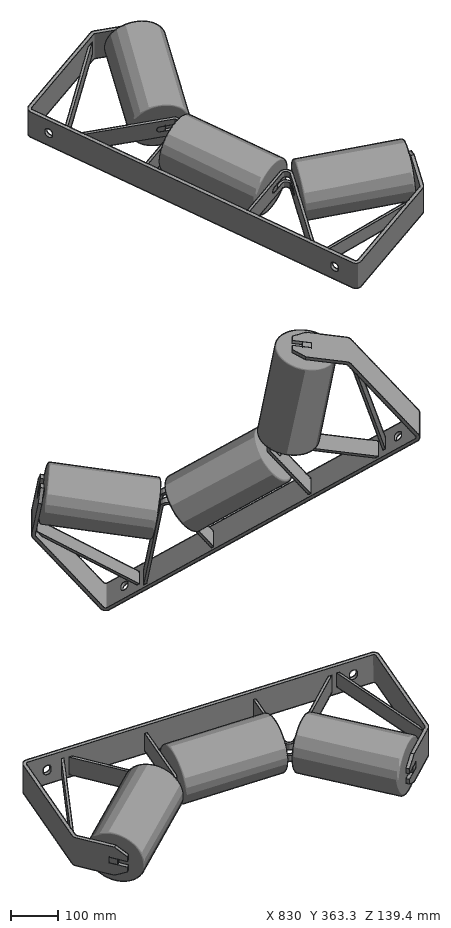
import cadquery as cq
import math

frame_width = 830.0
frame_height = 80.0
frame_thickness = 8.0
frame_bend_radius = 13.0
wall_depth = 263.0
plate_length = 122.0
tip_chamfer_along = 29.0
tip_chamfer_across = 18.0
mount_hole_inset = 58.0
mount_hole_width = 18.0
mount_hole_height = 26.0

roller_diameter = 133.0
roller_length = 241.0
roller_edge_radius = 5.0
shaft_diameter = 20.0
tongue_length = 19.0
tongue_height = 16.0
tongue_clearance = 1.0
middle_roller_y = 125.0
side_roller_on_plate = 90.5
tilt_degrees = 1.5

bracket_height = 50.0
bracket_thickness = 6.0
bracket_top_y = 168.5
bracket_top_width = 22.0
bracket_bend_radius = 16.0
bracket_gap = 3.0

brace_height = 40.0
brace_thickness = 6.0
brace_lean_degrees = 20.0
brace_foot_x = 318.0

diagonal = math.sqrt(0.5)
half_width = frame_width / 2
wall_inner_x = half_width - frame_thickness
plate_tip_x = half_width - plate_length * diagonal
plate_tip_y = wall_depth + plate_length * diagonal
bend_setback = math.tan(math.radians(22.5))

plate_point_x = -half_width + side_roller_on_plate * diagonal
plate_point_y = wall_depth + side_roller_on_plate * diagonal

bracket_face_x = -(roller_length / 2 + bracket_gap)
bracket_knee_x = bracket_face_x - bracket_top_width

plate_to_bracket = (bracket_knee_x - bracket_top_y - plate_point_x + plate_point_y) * diagonal
tilt = math.radians(tilt_degrees)
plate_to_leg_back = plate_to_bracket + bracket_thickness
side_shaft_length = plate_to_leg_back / math.cos(tilt)
side_body_start = (frame_thickness + plate_to_bracket - roller_length) / 2
middle_body_start = bracket_thickness + bracket_gap
middle_shaft_length = roller_length + 2 * middle_body_start
bracket_z = -plate_to_leg_back * math.tan(tilt)

side_plane = cq.Plane(
    origin=(plate_point_x, plate_point_y, 0),
    xDir=(1, 1, 0),
    normal=(diagonal * math.cos(tilt), -diagonal * math.cos(tilt), -math.sin(tilt)),
)
middle_plane = cq.Plane(
    origin=(-middle_shaft_length / 2, middle_roller_y, bracket_z),
    xDir=(0, 1, 0),
    normal=(1, 0, 0),
)


def both_sides(body):
    """A left-hand body and its mirror image on the right."""
    return [body, body.mirror("YZ")]


def upright_prism(points, height):
    """Polygon in XY extruded to both sides of z = 0."""
    return cq.Workplane("XY").polyline(points).close().extrude(height / 2, both=True)


def slot_bar(plane, start, depth, reach, round_end):
    """Bar shaped like a slot, from its closed end to a reach past the shaft axis: a tongue or a cutter."""
    half_height = tongue_height / 2
    closed_end = -tongue_length / 2
    profile = cq.Workplane(plane).workplane(offset=start)
    if round_end:
        arc_start = closed_end + half_height
        profile = profile.moveTo(arc_start, half_height)
        profile = profile.threePointArc((closed_end, 0), (arc_start, -half_height))
    else:
        profile = profile.moveTo(closed_end, half_height).lineTo(closed_end, -half_height)
    return profile.lineTo(reach, -half_height).lineTo(reach, half_height).close().extrude(depth)


def make_frame():
    half_height = frame_height / 2
    inner_step = frame_thickness * diagonal
    inner_tip_x = plate_tip_x - inner_step
    inner_tip_y = plate_tip_y - inner_step
    inner_wall_depth = wall_depth - frame_thickness * bend_setback

    outside = upright_prism(
        [
            (-half_width, 0),
            (half_width, 0),
            (half_width, wall_depth),
            (plate_tip_x, plate_tip_y),
            (inner_tip_x, inner_tip_y),
            (-inner_tip_x, inner_tip_y),
            (-plate_tip_x, plate_tip_y),
            (-half_width, wall_depth),
        ],
        frame_height,
    )
    inside = upright_prism(
        [
            (-wall_inner_x, frame_thickness),
            (wall_inner_x, frame_thickness),
            (wall_inner_x, inner_wall_depth),
            (inner_tip_x, inner_tip_y),
            (-inner_tip_x, inner_tip_y),
            (-wall_inner_x, inner_wall_depth),
        ],
        frame_height,
    )
    outside = outside.edges("|Z").edges("<X or >X").fillet(frame_bend_radius)
    inside = inside.edges("|Z").edges("<X or >X").fillet(frame_bend_radius - frame_thickness)
    frame = outside.cut(inside)

    tip_plane = cq.Plane(
        origin=(-plate_tip_x, plate_tip_y, 0), xDir=(1, 1, 0), normal=(diagonal, -diagonal, 0)
    )
    for up in (1, -1):
        corner = (
            cq.Workplane(tip_plane)
            .moveTo(0, up * half_height)
            .lineTo(-tip_chamfer_along, up * half_height)
            .lineTo(0, up * (half_height - tip_chamfer_across))
            .close()
            .extrude(frame_thickness)
        )
        for cutter in both_sides(corner):
            frame = frame.cut(cutter)

    overrun = frame_thickness / 2
    slot_reach = plate_length - side_roller_on_plate + overrun
    plate_slot = slot_bar(side_plane, -overrun, frame_thickness + 2 * overrun, slot_reach, False)
    for cutter in both_sides(plate_slot):
        frame = frame.cut(cutter)

    hole_x = half_width - mount_hole_inset
    holes = (
        cq.Workplane("XZ")
        .pushPoints([(-hole_x, 0), (hole_x, 0)])
        .slot2D(mount_hole_height, mount_hole_width, 90)
        .extrude(-frame_thickness)
    )
    return frame.cut(holes)


def make_bracket():
    foot_y = frame_thickness
    back_x = bracket_face_x - bracket_thickness
    under_top_y = bracket_top_y - bracket_thickness
    leg_offset = bracket_knee_x - bracket_top_y
    leg_back_offset = leg_offset + bracket_thickness / diagonal

    outside = upright_prism(
        [
            (bracket_face_x, foot_y),
            (bracket_face_x, bracket_top_y),
            (bracket_knee_x, bracket_top_y),
            (leg_offset + foot_y, foot_y),
        ],
        bracket_height,
    )
    inside = upright_prism(
        [
            (back_x, foot_y),
            (back_x, under_top_y),
            (leg_back_offset + under_top_y, under_top_y),
            (leg_back_offset + foot_y, foot_y),
        ],
        bracket_height,
    )
    outside = outside.edges("|Z").edges(">X").edges(">Y").fillet(bracket_bend_radius)
    inside = inside.edges("|Z").edges(">X").edges(">Y").fillet(bracket_bend_radius - bracket_thickness)
    bracket = outside.cut(inside).translate((0, 0, bracket_z))

    upright_slot = slot_bar(
        middle_plane,
        bracket_thickness - bracket_top_width,
        bracket_top_width,
        bracket_top_y - middle_roller_y,
        True,
    )
    overrun = bracket_thickness / 2
    leg_start = side_shaft_length - bracket_thickness - overrun
    leg_reach = (bracket_knee_x + bracket_top_y - plate_point_x - plate_point_y) * diagonal
    leg_slot = slot_bar(side_plane, leg_start, bracket_thickness + 2 * overrun, leg_reach, True)
    return bracket.cut(upright_slot).cut(leg_slot)


def make_brace():
    """Flat bar from the back wall to the side wall, its ends cut to lie against both."""
    lean = math.radians(brace_lean_degrees)
    foot_width = brace_thickness / math.cos(lean)
    rise = (wall_inner_x - brace_foot_x) / math.tan(lean)
    back_rise = (wall_inner_x - brace_foot_x - foot_width) / math.tan(lean)
    return upright_prism(
        [
            (-brace_foot_x, frame_thickness),
            (-wall_inner_x, frame_thickness + rise),
            (-wall_inner_x, frame_thickness + back_rise),
            (-brace_foot_x - foot_width, frame_thickness),
        ],
        brace_height,
    )


def make_roller(plane, shaft_length, body_start, first_support, first_end_round):
    """Roller with a round shaft and a flat tongue in the support at each end."""
    first_tongue = first_support + tongue_clearance
    last_tongue = bracket_thickness + tongue_clearance
    round_length = shaft_length - first_tongue - last_tongue
    body = (
        cq.Workplane(plane)
        .workplane(offset=body_start)
        .circle(roller_diameter / 2)
        .extrude(roller_length)
        .edges("%CIRCLE")
        .fillet(roller_edge_radius)
    )
    shaft = (
        cq.Workplane(plane)
        .workplane(offset=first_tongue)
        .circle(shaft_diameter / 2)
        .extrude(round_length)
    )
    tongue_reach = tongue_length / 2
    first = slot_bar(plane, 0, first_tongue, tongue_reach, first_end_round)
    last = slot_bar(plane, shaft_length - last_tongue, last_tongue, tongue_reach, True)
    return body.union(shaft).union(first).union(last)


frame = make_frame()
brackets = both_sides(make_bracket())
braces = both_sides(make_brace())
middle_roller = make_roller(middle_plane, middle_shaft_length, middle_body_start, bracket_thickness, True)
side_rollers = both_sides(
    make_roller(side_plane, side_shaft_length, side_body_start, frame_thickness, False)
)

bodies = [frame, *brackets, *braces, middle_roller, *side_rollers]
result = cq.Compound.makeCompound([body.solids().val() for body in bodies])